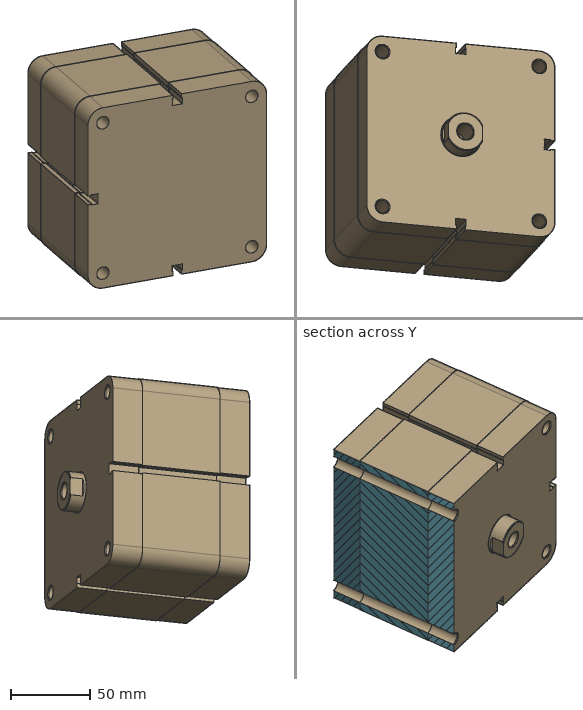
import cadquery as cq
import math


cap_length = 20.0
barrel_length = 52.1
barrel_side = 124.0
barrel_oversize = 0.27
cap_side = barrel_side - 2 * barrel_oversize
cap_corner_radius = 10.3
barrel_corner_radius = cap_corner_radius + barrel_oversize
barrel_start = cap_length
rear_cap_start = barrel_start + barrel_length

slot_mouth_width = 5.0
slot_inner_width = 6.0
slot_lip_depth = 3.6
slot_depth = 6.7
cap_slot_clearance = 0.5
slot_angles = (0, 90, 180)

bolt_offset = 51.5
bolt_diameter = 8.4
bolt_chamfer = 0.6

rod_diameter = 25.0
rod_projection = 10.0
rod_end_chamfer = 0.56
rod_flats_width = 22.3
rod_flats_length = 8.4
rod_shoulder_lean = 0.6
rod_seat_chamfer = 0.7
thread_diameter = 10.3
thread_depth = 19.8
thread_tip_angle = 118.0
thread_chamfer = 0.6


def square_block(side, length, corner_radius, start):
    """Square prism along X with rounded long edges."""
    return (
        cq.Workplane("YZ", origin=(start, 0, 0))
        .rect(side, side)
        .extrude(length)
        .edges("|X")
        .fillet(corner_radius)
    )


def slot_cutter(half_side, length, start, clearance):
    """T-shaped bar along X that cuts one slot into the top face."""
    mouth_width = slot_mouth_width + 2 * clearance
    inner_width = slot_inner_width + 2 * clearance
    lip_bottom = barrel_side / 2 - slot_lip_depth + clearance
    floor = barrel_side / 2 - slot_depth - clearance
    plane = cq.Workplane("YZ", origin=(start, 0, 0))
    mouth = plane.center(0, (half_side + floor) / 2).rect(mouth_width, half_side - floor).extrude(length)
    inner = plane.center(0, (lip_bottom + floor) / 2).rect(inner_width, lip_bottom - floor).extrude(length)
    return mouth.union(inner)


def cut_slots(body, half_side, length, start, clearance):
    cutter = slot_cutter(half_side, length, start, clearance)
    for angle in slot_angles:
        body = body.cut(cutter.rotate((0, 0, 0), (1, 0, 0), angle))
    return body


def bolt_holes(length, start):
    return (
        cq.Workplane("YZ", origin=(start, 0, 0))
        .rect(2 * bolt_offset, 2 * bolt_offset, forConstruction=True)
        .vertices()
        .circle(bolt_diameter / 2)
        .extrude(length)
    )


def countersink(diameter, chamfer, face_x):
    """45 degree cone that opens a hole's rim on a face looking to -X."""
    cone = cq.Solid.makeCone(
        diameter / 2 + chamfer, diameter / 2, chamfer, cq.Vector(face_x, 0, 0), cq.Vector(1, 0, 0)
    )
    return cq.Workplane(obj=cone)


def make_cap(start):
    cap = square_block(cap_side, cap_length, cap_corner_radius, start)
    cap = cut_slots(cap, cap_side / 2, cap_length, start, cap_slot_clearance)
    return cap.cut(bolt_holes(cap_length, start))


def make_front_cap():
    cap = make_cap(0)
    bolt_countersink = countersink(bolt_diameter, bolt_chamfer, 0)
    for y in (-bolt_offset, bolt_offset):
        for z in (-bolt_offset, bolt_offset):
            cap = cap.cut(bolt_countersink.translate((0, y, z)))
    rod_bore = cq.Workplane("YZ").circle(rod_diameter / 2).extrude(cap_length)
    return cap.cut(rod_bore).cut(countersink(rod_diameter, rod_seat_chamfer, 0))


def make_barrel():
    barrel = square_block(barrel_side, barrel_length, barrel_corner_radius, barrel_start)
    barrel = cut_slots(barrel, barrel_side / 2, barrel_length, barrel_start, 0)
    return barrel.cut(bolt_holes(barrel_length, barrel_start))


def make_rod():
    tip_x = -rod_projection
    plane = cq.Workplane("YZ", origin=(tip_x, 0, 0))
    rod = plane.circle(rod_diameter / 2).extrude(rod_projection + cap_length)
    rod = rod.faces("<X").chamfer(rod_end_chamfer)

    flat_y = rod_flats_width / 2
    rod_radius = rod_diameter / 2
    shoulder_x = tip_x + rod_flats_length
    flat_cutter = (
        cq.Workplane("XY", origin=(0, 0, -rod_radius))
        .moveTo(tip_x, flat_y)
        .lineTo(shoulder_x, flat_y)
        .lineTo(shoulder_x + rod_shoulder_lean, rod_radius)
        .lineTo(tip_x, rod_radius)
        .close()
        .extrude(rod_diameter)
    )
    rod = rod.cut(flat_cutter).cut(flat_cutter.mirror("XZ"))

    radius = thread_diameter / 2
    point_length = radius / math.tan(math.radians(thread_tip_angle / 2))
    hole = plane.circle(radius).extrude(thread_depth)
    point = cq.Solid.makeCone(
        radius, 0, point_length, cq.Vector(tip_x + thread_depth, 0, 0), cq.Vector(1, 0, 0)
    )
    return rod.cut(hole).cut(cq.Workplane(obj=point)).cut(countersink(thread_diameter, thread_chamfer, tip_x))


front_cap = make_front_cap()
barrel = make_barrel()
rear_cap = make_cap(rear_cap_start)
rod = make_rod()

result = cq.Compound.makeCompound([front_cap.val(), barrel.val(), rear_cap.val(), rod.val()])